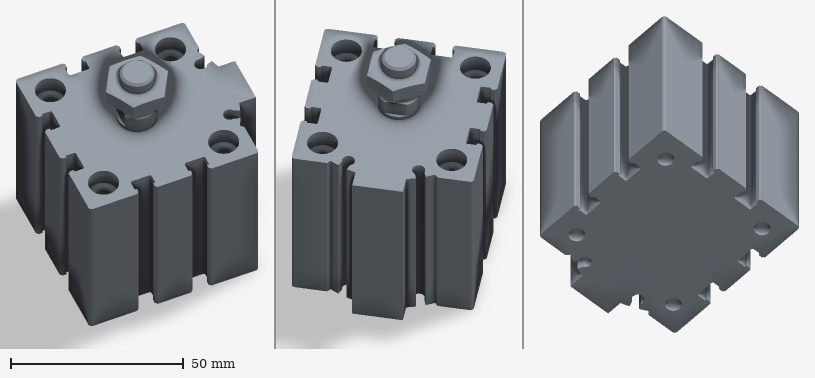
import cadquery as cq
import math

width = 53.5
half_width = width / 2
overall_depth = 61.0
overall_height = 73.0
housing_height = 53.0
corner_radius = 1.0

land_radius = 29.9
land_half_width = 15.3
notch_half_width = 16.3
rib_half_width = 7.45
rib_rear = overall_depth - half_width

t_slot_spacing = 17.0
t_slot_offset = t_slot_spacing / 2
t_slot_opening = 5.2
t_slot_cavity = 6.5
t_slot_depth = 5.0
t_slot_lip = 1.8
t_slot_edge_radius = 0.5
t_slot_corner_radius = 0.5

sensor_angle = 22.7
sensor_distance = 26.8
sensor_diameter = 3.8
sensor_opening = 2.85

hole_offset = 19.0
hole_diameter = 4.9
hole_mouth_diameter = 6.0
counterbore_diameter = 9.0
counterbore_depth = 5.5

rod_length = overall_height - housing_height
rod_diameter = 12.0
rod_edge = 0.2
collar_height = 5.9
flat_width = 10.0
flat_bottom = 1.3
neck_diameter = 8.2
neck_base_diameter = 8.6
neck_bottom = 6.5
neck_top = 7.15
cone_bottom = 7.4
cone_top = 9.6
thread_diameter = 10.0
thread_chamfer = 0.7

nut_width = 17.0
nut_height = 5.0
nut_bottom = 10.95
nut_face_diameter = 16.85
nut_chamfer_angle = 15.0


def land_y(x):
    """Y of the rear land surface at a given x."""
    return math.sqrt(land_radius**2 - x**2)


def housing_blank():
    """Square section with the rear land and rib, before anything is cut."""
    arc_mid_x = (land_half_width + rib_half_width) / 2
    return (
        cq.Workplane("XY")
        .moveTo(-half_width, -half_width)
        .lineTo(half_width, -half_width)
        .lineTo(half_width, half_width)
        .lineTo(notch_half_width, half_width)
        .lineTo(land_half_width, land_y(land_half_width))
        .threePointArc((arc_mid_x, land_y(arc_mid_x)), (rib_half_width, land_y(rib_half_width)))
        .lineTo(rib_half_width, rib_rear)
        .lineTo(-rib_half_width, rib_rear)
        .lineTo(-rib_half_width, land_y(rib_half_width))
        .threePointArc((-arc_mid_x, land_y(arc_mid_x)), (-land_half_width, land_y(land_half_width)))
        .lineTo(-notch_half_width, half_width)
        .lineTo(-half_width, half_width)
        .close()
        .extrude(housing_height)
    )


def t_slot(offset):
    """T-slot cutter on the front face, with rounded opening edges."""
    front = -half_width
    edge = t_slot_opening / 2
    radius = t_slot_edge_radius
    cavity_depth = t_slot_depth - t_slot_lip
    cavity = (
        cq.Workplane("XY")
        .center(offset, front + t_slot_lip + cavity_depth / 2)
        .rect(t_slot_cavity, cavity_depth)
        .extrude(housing_height)
        .edges("|Z and >Y")
        .fillet(t_slot_corner_radius)
    )
    opening = (
        cq.Workplane("XY")
        .moveTo(offset - edge - radius, front)
        .radiusArc((offset - edge, front + radius), radius)
        .lineTo(offset - edge, front + t_slot_lip)
        .lineTo(offset + edge, front + t_slot_lip)
        .lineTo(offset + edge, front + radius)
        .radiusArc((offset + edge + radius, front), radius)
        .close()
        .extrude(housing_height)
    )
    return cavity.union(opening)


def sensor_slot(angle):
    """Round slot open to the rear, turned about the rod axis."""
    throat_length = rib_rear - sensor_distance
    centre = cq.Workplane("XY").center(0, sensor_distance)
    bottom = centre.circle(sensor_diameter / 2).extrude(housing_height)
    throat = (
        cq.Workplane("XY")
        .center(0, sensor_distance + throat_length / 2)
        .rect(sensor_opening, throat_length)
        .extrude(housing_height)
    )
    return bottom.union(throat).rotate((0, 0, 0), (0, 0, 1), angle)


def mounting_hole():
    """Counterbored through hole on the Z axis, with a conical mouth at the counterbore floor."""
    floor = housing_height - counterbore_depth
    cone_depth = (hole_mouth_diameter - hole_diameter) / 2
    return (
        cq.Workplane("XZ")
        .moveTo(0, 0)
        .lineTo(hole_diameter / 2, 0)
        .lineTo(hole_diameter / 2, floor - cone_depth)
        .lineTo(hole_mouth_diameter / 2, floor)
        .lineTo(counterbore_diameter / 2, floor)
        .lineTo(counterbore_diameter / 2, housing_height)
        .lineTo(0, housing_height)
        .close()
        .revolve(360, (0, 0), (0, 1))
    )


def make_housing():
    """Extruded housing with rounded corners, slots and mounting holes."""
    housing = housing_blank()
    for side in (-1, 1):
        for end in (-1, 1):
            edge_middle = (side * half_width, end * half_width, housing_height / 2)
            corner_edge = cq.selectors.NearestToPointSelector(edge_middle)
            housing = housing.edges(corner_edge).fillet(corner_radius)
    for face_angle in (-90, 0, 90):
        for offset in (-t_slot_offset, t_slot_offset):
            housing = housing.cut(t_slot(offset).rotate((0, 0, 0), (0, 0, 1), face_angle))
    for angle in (-sensor_angle, sensor_angle):
        housing = housing.cut(sensor_slot(angle))
    for x in (-hole_offset, hole_offset):
        for y in (-hole_offset, hole_offset):
            housing = housing.cut(mounting_hole().translate((x, y, 0)))
    return housing


def make_rod():
    """Turned rod standing on the housing, with two wrench flats on its collar."""
    rod = (
        cq.Workplane("XZ")
        .moveTo(0, 0)
        .lineTo(rod_diameter / 2, 0)
        .lineTo(rod_diameter / 2, collar_height - rod_edge)
        .lineTo(rod_diameter / 2 - rod_edge, collar_height)
        .lineTo(neck_base_diameter / 2, collar_height)
        .lineTo(neck_diameter / 2, neck_bottom)
        .lineTo(neck_diameter / 2, neck_top)
        .lineTo(neck_base_diameter / 2, cone_bottom)
        .lineTo(thread_diameter / 2, cone_top)
        .lineTo(thread_diameter / 2, rod_length - thread_chamfer)
        .lineTo(thread_diameter / 2 - thread_chamfer, rod_length)
        .lineTo(0, rod_length)
        .close()
        .revolve(360, (0, 0), (0, 1))
    )
    flat_height = collar_height - flat_bottom
    cutter_size = 2 * rod_diameter
    flat_cutter = (
        cq.Workplane("XY", origin=(0, 0, flat_bottom))
        .rect(cutter_size, cutter_size)
        .rect(cutter_size, flat_width)
        .extrude(flat_height)
    )
    return rod.cut(flat_cutter).translate((0, 0, housing_height))


def make_nut():
    """Hexagon nut with corners towards the front and rear, chamfered at both ends."""
    corner_diameter = nut_width / math.cos(math.pi / 6)
    corner_drop = (corner_diameter - nut_face_diameter) / 2 * math.tan(math.radians(nut_chamfer_angle))
    hexagon = (
        cq.Workplane("XY")
        .polygon(6, corner_diameter)
        .circle(thread_diameter / 2)
        .extrude(nut_height)
        .rotate((0, 0, 0), (0, 0, 1), 90)
    )
    chamfer_envelope = (
        cq.Workplane("XZ")
        .moveTo(0, 0)
        .lineTo(nut_face_diameter / 2, 0)
        .lineTo(corner_diameter / 2, corner_drop)
        .lineTo(corner_diameter / 2, nut_height - corner_drop)
        .lineTo(nut_face_diameter / 2, nut_height)
        .lineTo(0, nut_height)
        .close()
        .revolve(360, (0, 0), (0, 1))
    )
    return hexagon.intersect(chamfer_envelope).translate((0, 0, housing_height + nut_bottom))


housing = make_housing()
rod = make_rod()
nut = make_nut()

result = cq.Compound.makeCompound([housing.val(), rod.val(), nut.val()])